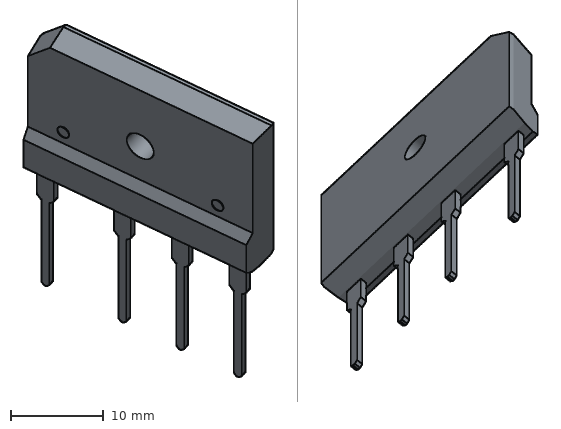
import cadquery as cq
import math


body_width = 30.0
body_height = 20.0
parting_depth = 0.55
upper_depth = 3.6
foot_depth = 4.65
front_side_draft = 7.5
front_top_draft = 9.0
back_draft = 10.0
corner_cut = 3.0
front_corner_cut = 2.85
back_corner_cut = 2.9

foot_top = 4.8
front_bevel_depth = 0.85
front_bevel_height = 0.55
back_bevel_depth = 2.4
back_bevel_height = 0.52

bolt_hole_front_diameter = 3.5
bolt_hole_back_diameter = 3.25
bolt_hole_height = 11.0
pin_mark_diameter = 1.5
pin_mark_depth = 0.08
pin_mark_offset = 10.0
pin_mark_height = 7.5

total_height = 37.5
lead_positions = [-12.5, -2.48, 5.02, 12.5]
lead_length = total_height - body_height
lead_thickness = 0.8
lead_front_depth = 3.38
shoulder_width = 2.2
shoulder_length = 4.05
blade_width = 1.0
tip_width = 0.3


def outline_points(side_inset, top_inset, cut):
    """Outline of the housing blank, shrunk at its sides and top, with the cut upper left corner."""
    half = body_width / 2 - side_inset
    top = body_height - top_inset
    blank_bottom = -foot_depth
    return [
        (half, blank_bottom),
        (half, top),
        (-half + cut, top),
        (-half, top - cut),
        (-half, blank_bottom),
    ]


def tapered_half(end_depth, side_draft, top_draft, end_cut):
    """One half of the blank, narrowing from the parting plane to a plane at the given depth."""
    length = abs(end_depth - parting_depth)
    side_inset = length * math.tan(math.radians(side_draft))
    top_inset = length * math.tan(math.radians(top_draft))
    return (
        cq.Workplane("XZ", origin=(0, -parting_depth, 0))
        .polyline(outline_points(0, 0, corner_cut))
        .close()
        .workplane(offset=end_depth - parting_depth)
        .polyline(outline_points(side_inset, top_inset, end_cut))
        .close()
        .loft(ruled=True)
    )


def side_profile():
    """Slab across the full width with the bevelled underside, the foot and its shoulder."""
    shoulder_top = foot_top + foot_depth - upper_depth
    return (
        cq.Workplane("YZ")
        .moveTo(0, back_bevel_height)
        .lineTo(-back_bevel_depth, 0)
        .lineTo(-foot_depth + front_bevel_depth, 0)
        .lineTo(-foot_depth, front_bevel_height)
        .lineTo(-foot_depth, foot_top)
        .lineTo(-upper_depth, shoulder_top)
        .lineTo(-upper_depth, body_height)
        .lineTo(0, body_height)
        .close()
        .extrude(body_width / 2, both=True)
    )


def make_housing():
    front_half = tapered_half(foot_depth, front_side_draft, front_top_draft, front_corner_cut)
    back_half = tapered_half(0, back_draft, back_draft, back_corner_cut)
    body = front_half.union(back_half).intersect(side_profile())

    bolt_hole = (
        cq.Workplane("XZ")
        .center(0, bolt_hole_height)
        .circle(bolt_hole_back_diameter / 2)
        .workplane(offset=upper_depth)
        .circle(bolt_hole_front_diameter / 2)
        .loft()
    )
    pin_marks = (
        cq.Workplane("XZ", origin=(0, -upper_depth, 0))
        .pushPoints([(side * pin_mark_offset, pin_mark_height) for side in (-1, 1)])
        .circle(pin_mark_diameter / 2)
        .extrude(-pin_mark_depth)
    )
    return body.cut(bolt_hole).cut(pin_marks)


def make_lead(x):
    """Flat lead with a wide shoulder under the housing, a narrow blade and a 45 degree tip."""
    shoulder_half = shoulder_width / 2
    blade_half = blade_width / 2
    tip_half = tip_width / 2
    blade_start = -shoulder_length - (shoulder_half - blade_half)
    tip_start = -lead_length + (blade_half - tip_half)
    right_side = [
        (shoulder_half, 0),
        (shoulder_half, -shoulder_length),
        (blade_half, blade_start),
        (blade_half, tip_start),
        (tip_half, -lead_length),
    ]
    left_side = [(-px, pz) for px, pz in reversed(right_side)]
    return (
        cq.Workplane("XZ", origin=(x, -lead_front_depth, 0))
        .polyline(right_side + left_side)
        .close()
        .extrude(-lead_thickness)
    )


housing = make_housing()
leads = [make_lead(x) for x in lead_positions]
result = cq.Compound.makeCompound([housing.val(), *[lead.val() for lead in leads]])